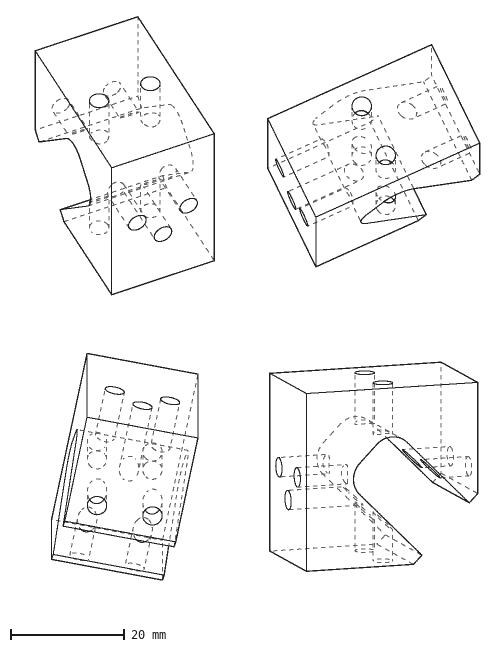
import cadquery as cq
import math

side = 32.0
depth = 20.0
half = side / 2

slot_width = 12.5
slot_corner_radius = 4.0
mouth_setback = 12.0

hole_diameter = 3.42
hole_spacing = 10.0
clamp_hole_z = -5.0


def make_block():
    """Square block with its -X -Z corner cut off at 45 degrees."""
    outline = [
        (-half, half),
        (half, half),
        (half, -half),
        (-half + mouth_setback, -half),
        (-half, -half + mouth_setback),
    ]
    return cq.Workplane("XZ").polyline(outline).close().extrude(depth / 2, both=True)


def make_slot():
    """Rounded slot, centred on the block with its closed end half a width past centre."""
    slot_length = slot_width / 2 + half * math.sqrt(2)
    return (
        cq.Workplane("XY")
        .box(slot_length, depth, slot_width)
        .translate((slot_width / 2 - slot_length / 2, 0, 0))
        .edges("|Y and >X")
        .fillet(slot_corner_radius)
        .rotate((0, 0, 0), (0, 1, 0), -45)
    )


def make_through_hole(direction, y):
    """Hole through the whole block, along X or Z crossing the block centre lines."""
    start = cq.Vector(0, y, 0) - direction * half
    return cq.Solid.makeCylinder(hole_diameter / 2, side, start, direction)


result = make_block().cut(make_slot())

for axis in (cq.Vector(1, 0, 0), cq.Vector(0, 0, 1)):
    for hole_y in (-hole_spacing / 2, hole_spacing / 2):
        result = result.cut(make_through_hole(axis, hole_y))

clamp_hole = cq.Solid.makeCylinder(
    hole_diameter / 2, half, cq.Vector(0, 0, clamp_hole_z), cq.Vector(1, 0, 0)
)
result = result.cut(clamp_hole)